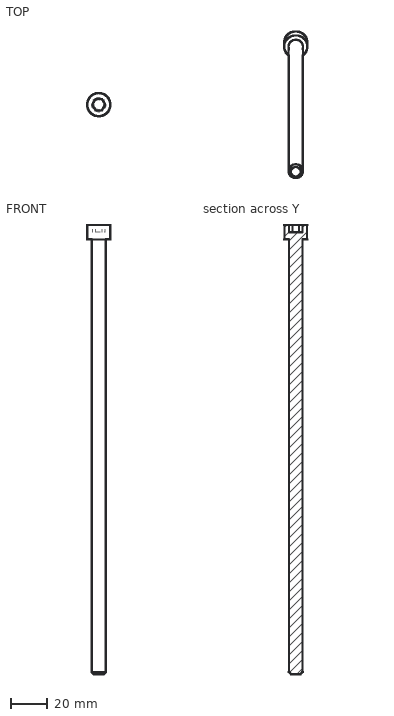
import cadquery as cq
import math

total_length = 248.0
head_diameter = 13.0
head_height = 8.0
shank_diameter = 8.0
thread_length = 28.0
tip_chamfer = 1.2
socket_across_flats = 6.2
socket_depth = 4.0

shank_length = total_length - head_height
socket_across_corners = socket_across_flats / math.cos(math.pi / 6)


def cylinder(diameter, bottom, top):
    """Solid cylinder on the screw axis between two heights."""
    return cq.Workplane("XY").workplane(offset=bottom).circle(diameter / 2).extrude(top - bottom)


threaded_end = cylinder(shank_diameter, 0, thread_length).faces("<Z").chamfer(tip_chamfer)

plain_shank = cylinder(shank_diameter, thread_length, shank_length)
head = cylinder(head_diameter, shank_length, total_length)

socket = (
    cq.Workplane("XY")
    .workplane(offset=total_length - socket_depth)
    .polygon(6, socket_across_corners)
    .extrude(socket_depth)
)

screw = threaded_end.union(plain_shank, clean=False).union(head, clean=False)
result = screw.cut(socket, clean=False)